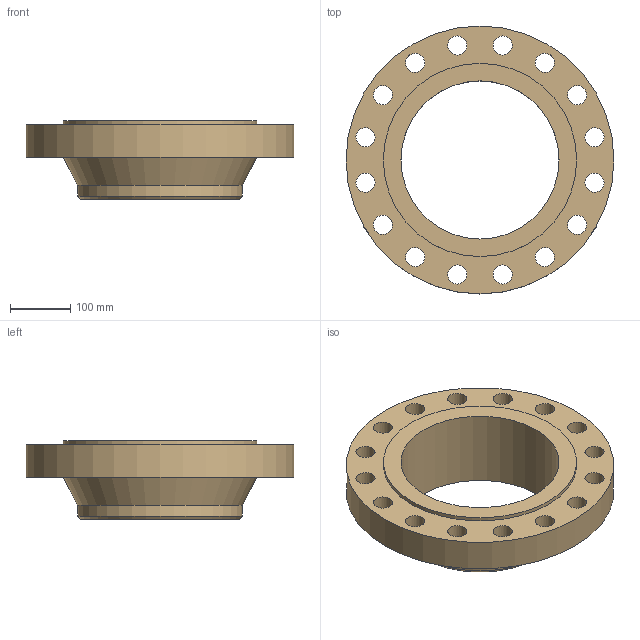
import cadquery as cq
import math

flange_diameter = 444.5
flange_thickness = 53.95
raised_face_diameter = 320.7
raised_face_height = 6.35
bore_diameter = 262.4

overall_length = 130.3
hub_base_diameter = 320.7
neck_diameter = 273.05
neck_length = 23.0

bevel_height = 5.3
bevel_angle = 37.5

bolt_count = 16
bolt_circle_diameter = 387.35
bolt_hole_diameter = 31.75

flange_top = overall_length - raised_face_height
flange_bottom = flange_top - flange_thickness
bevel_width = bevel_height * math.tan(math.radians(bevel_angle))


def make_body():
    """Revolve the radial section of the flange, hub and weld neck about Z."""
    bore_radius = bore_diameter / 2
    neck_radius = neck_diameter / 2
    section = [
        (bore_radius, 0),
        (neck_radius - bevel_width, 0),
        (neck_radius, bevel_height),
        (neck_radius, neck_length),
        (hub_base_diameter / 2, flange_bottom),
        (flange_diameter / 2, flange_bottom),
        (flange_diameter / 2, flange_top),
        (raised_face_diameter / 2, flange_top),
        (raised_face_diameter / 2, overall_length),
        (bore_radius, overall_length),
    ]
    return cq.Workplane("XZ").polyline(section).close().revolve(360, (0, 0, 0), (0, 1, 0))


def make_bolt_holes():
    """Cylinders through the flange, the first half a pitch away from +X."""
    half_pitch = 180 / bolt_count
    return (
        cq.Workplane("XY")
        .workplane(offset=flange_bottom)
        .polarArray(bolt_circle_diameter / 2, half_pitch, 360, bolt_count)
        .circle(bolt_hole_diameter / 2)
        .extrude(flange_thickness)
    )


result = make_body().cut(make_bolt_holes())